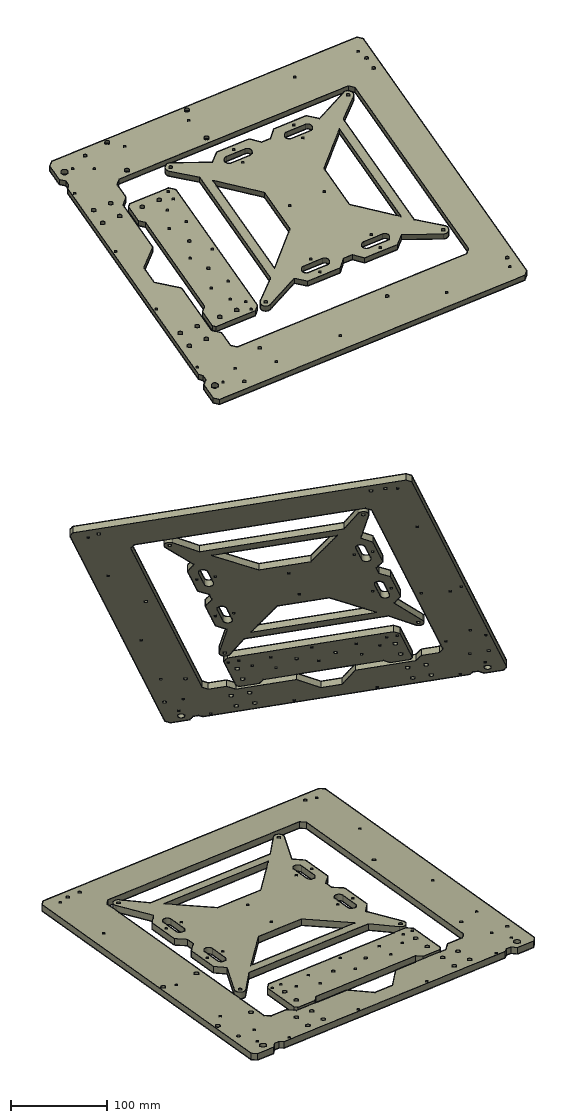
import cadquery as cq
import math

THICKNESS = 8.0

SMALL_HOLE = 2.5
MEDIUM_HOLE = 3.7
BOLT_HOLE = 4.8
BOLT_X = 85.5
BOLT_PITCH = 20.0

FRAME_HALF = 370 / 2
FRAME_CHAMFER = 4.8

FOOT_INNER_X = 159.0
NOTCH_OUTER_X = 154.3
NOTCH_INNER_X = 148.5
NOTCH_TOP_Y = -180.0
BASE_X = 144.3
BASE_Y = -183.0

WINDOW_HALF_X = 130.2
WINDOW_TOP_Y = 145.8
WINDOW_BOTTOM_Y = -135.0
WINDOW_CHAMFER = 5.0
STEP_OUTER_X = 105.5
STEP_INNER_X = 97.3
STEP_Y = -143.0
POCKET_OUTER_X = 32.0
POCKET_INNER_X = 11.5
POCKET_Y = -164.3

SIDE_HOLE_X = 167.2
SIDE_HOLE_YS = [172.0, 97.3, -28.0, -103.5]
TOP_HOLE_Y = 175.5
TOP_HOLE_X = 155.0
EXTRA_TOP_HOLE_X = -139.5
CORNER_HOLE_Y = -145.8
CORNER_HOLE_X = 175.5
FOOT_HOLE_X = 165.8
FOOT_SMALL_HOLE_Y = -165.8
FOOT_LARGE_HOLE_Y = -175.5
FOOT_LARGE_HOLE = 7.5
BASE_HOLE_XS = [44.8, 135.0]
BASE_HOLE_Y = -180.0
FRAME_BOLT_TOP_Y = -153.0
RIGHT_RAIL_X = 142.5
RIGHT_RAIL_YS = [40.5, -110.0]
COUNTERBORE_XS = [-180.5, -137.3]
COUNTERBORE_YS = [-23.0, -117.0]
COUNTERBORE = 5.0
COUNTERBORE_DEPTH = THICKNESS / 2

CARRIER_X = -14.8
CARRIER_Y = 30.0
ARM_HOLE = 104.7
ARM_TIP_RADIUS = 6.0
ARM_ROOT_X = 78.0
BAR_OUTER_Y = 84.7
BAR_INNER_Y = 74.7
OPENING_INNER_Y = 35.0
OPENING_OUTER_X = 68.0
OPENING_INNER_X = 28.0
EAR_X = 100.3
WAIST_X = 90.3
EAR_TOP_ROOT_Y = 63.3
EAR_TOP_Y = 53.0
EAR_BOTTOM_Y = 14.5
EAR_BOTTOM_ROOT_Y = 5.0
SLOT_X = 85.0
SLOT_Y = 35.5
SLOT_LENGTH = 32.0
SLOT_WIDTH = 10.0
SLOT_HOLE_OFFSET = 10.0
CENTRE_HOLE_Y = 20.5

PLATE_HALF_X = 95.5
PLATE_TOP_Y = -84.5
PLATE_BOTTOM_Y = -139.0
PLATE_TOP_CHAMFER = 5.5
PLATE_BOTTOM_CHAMFER = 3.0
RECESS_Y = -133.5
RECESS_TOP_X = 65.0
RECESS_BOTTOM_X = 70.5
PLATE_BOLT_TOP_Y = -106.5
PLATE_CORNER_XS = [80.0, 91.5]
PLATE_CORNER_Y = -93.0
PLATE_MIDDLE_Y = -105.5
PLATE_MIDDLE_SMALL_X = 69.2
PLATE_MIDDLE_MEDIUM_X = 21.0
PLATE_INNER_X = 46.2
PLATE_INNER_TOP_Y = -96.0
PLATE_INNER_BOTTOM_Y = -115.8
PLATE_CENTRE_TOP_Y = -89.5


def both_sides(points):
    """Add the mirror image in X of every point."""
    return points + [(-x, y) for x, y in points]


def four_quadrants(x, y):
    """The point mirrored into all four quadrants."""
    return [(sx * x, sy * y) for sx in (1, -1) for sy in (1, -1)]


def symmetric_slab(right_points):
    """Plate whose outline is the right half, listed top to bottom, plus its mirror image."""
    left_points = [(-x, y) for x, y in reversed(right_points)]
    return cq.Workplane("XY").polyline(right_points + left_points).close().extrude(THICKNESS)


def drill(body, points, diameter):
    """Cut a through hole at every point."""
    return body.cut(cq.Workplane("XY").pushPoints(points).circle(diameter / 2).extrude(THICKNESS))


def bolt_rows(xs, top_y):
    """Two rows of bolt positions at the given columns, on both sides."""
    return both_sides([(x, y) for x in xs for y in (top_y, top_y - BOLT_PITCH)])


def tangent_point(point, centre, radius, side):
    """Where the line from a point touches a circle; side +1 or -1 picks the line."""
    dx = point[0] - centre[0]
    dy = point[1] - centre[1]
    angle = math.atan2(dy, dx) + side * math.acos(radius / math.hypot(dx, dy))
    return (centre[0] + radius * math.cos(angle), centre[1] + radius * math.sin(angle))


def make_frame():
    outline = symmetric_slab([
        (FRAME_HALF - FRAME_CHAMFER, FRAME_HALF),
        (FRAME_HALF, FRAME_HALF - FRAME_CHAMFER),
        (FRAME_HALF, -FRAME_HALF + FRAME_CHAMFER),
        (FRAME_HALF - FRAME_CHAMFER, -FRAME_HALF),
        (FOOT_INNER_X, -FRAME_HALF),
        (NOTCH_OUTER_X, NOTCH_TOP_Y),
        (NOTCH_INNER_X, NOTCH_TOP_Y),
        (BASE_X, BASE_Y),
    ])
    window = symmetric_slab([
        (WINDOW_HALF_X - WINDOW_CHAMFER, WINDOW_TOP_Y),
        (WINDOW_HALF_X, WINDOW_TOP_Y - WINDOW_CHAMFER),
        (WINDOW_HALF_X, WINDOW_BOTTOM_Y + WINDOW_CHAMFER),
        (WINDOW_HALF_X - WINDOW_CHAMFER, WINDOW_BOTTOM_Y),
        (STEP_OUTER_X, WINDOW_BOTTOM_Y),
        (STEP_INNER_X, STEP_Y),
        (POCKET_OUTER_X, STEP_Y),
        (POCKET_INNER_X, POCKET_Y),
    ])
    body = outline.cut(window)

    small = [(SIDE_HOLE_X, y) for y in SIDE_HOLE_YS]
    small += [(x, BASE_HOLE_Y) for x in BASE_HOLE_XS]
    small += [(TOP_HOLE_X, CORNER_HOLE_Y), (FOOT_HOLE_X, FOOT_SMALL_HOLE_Y)]
    body = drill(body, both_sides(small), SMALL_HOLE)

    medium = both_sides([(TOP_HOLE_X, TOP_HOLE_Y), (CORNER_HOLE_X, CORNER_HOLE_Y)])
    medium.append((EXTRA_TOP_HOLE_X, TOP_HOLE_Y))
    medium += [(RIGHT_RAIL_X, y) for y in RIGHT_RAIL_YS]
    body = drill(body, medium, MEDIUM_HOLE)

    body = drill(body, bolt_rows([BOLT_X, BOLT_X + BOLT_PITCH], FRAME_BOLT_TOP_Y), BOLT_HOLE)
    body = drill(body, both_sides([(FOOT_HOLE_X, FOOT_LARGE_HOLE_Y)]), FOOT_LARGE_HOLE)

    counterbores = [(x, y) for x in COUNTERBORE_XS for y in COUNTERBORE_YS]
    return (
        body.faces(">Z").workplane(origin=(0, 0, THICKNESS))
        .pushPoints(counterbores)
        .cboreHole(SMALL_HOLE, COUNTERBORE, COUNTERBORE_DEPTH)
    )


def make_carrier():
    tip = (ARM_HOLE, ARM_HOLE)
    root = (ARM_ROOT_X, BAR_OUTER_Y)
    ear_root = (WAIST_X, EAR_TOP_ROOT_Y)
    tip_reach = ARM_HOLE + ARM_TIP_RADIUS * math.sqrt(0.5)
    quadrant = (
        cq.Workplane("XY")
        .lineTo(0, BAR_OUTER_Y)
        .lineTo(*root)
        .lineTo(*tangent_point(root, tip, ARM_TIP_RADIUS, -1))
        .threePointArc((tip_reach, tip_reach), tangent_point(ear_root, tip, ARM_TIP_RADIUS, 1))
        .lineTo(*ear_root)
        .lineTo(EAR_X, EAR_TOP_Y)
        .lineTo(EAR_X, EAR_BOTTOM_Y)
        .lineTo(WAIST_X, EAR_BOTTOM_ROOT_Y)
        .lineTo(WAIST_X, 0)
        .close()
        .extrude(THICKNESS)
    )
    half = quadrant.union(quadrant.mirror("YZ"))
    body = half.union(half.mirror("XZ")).clean()

    opening = symmetric_slab([(OPENING_OUTER_X, BAR_INNER_Y), (OPENING_INNER_X, OPENING_INNER_Y)])
    body = body.cut(opening).cut(opening.mirror("XZ"))

    slots = (
        cq.Workplane("XY")
        .pushPoints(four_quadrants(SLOT_X, SLOT_Y))
        .slot2D(SLOT_LENGTH, SLOT_WIDTH, 90)
        .extrude(THICKNESS)
    )
    body = body.cut(slots)

    small = four_quadrants(SLOT_X - SLOT_HOLE_OFFSET, SLOT_Y)
    small += four_quadrants(SLOT_X + SLOT_HOLE_OFFSET, SLOT_Y)
    small += [(0, CENTRE_HOLE_Y), (0, -CENTRE_HOLE_Y)]
    body = drill(body, small, SMALL_HOLE)
    body = drill(body, four_quadrants(ARM_HOLE, ARM_HOLE), MEDIUM_HOLE)
    return body.translate((CARRIER_X, CARRIER_Y, 0))


def make_mounting_plate():
    body = symmetric_slab([
        (PLATE_HALF_X - PLATE_TOP_CHAMFER, PLATE_TOP_Y),
        (PLATE_HALF_X, PLATE_TOP_Y - PLATE_TOP_CHAMFER),
        (PLATE_HALF_X, PLATE_BOTTOM_Y + PLATE_BOTTOM_CHAMFER),
        (PLATE_HALF_X - PLATE_BOTTOM_CHAMFER, PLATE_BOTTOM_Y),
        (RECESS_BOTTOM_X, PLATE_BOTTOM_Y),
        (RECESS_TOP_X, RECESS_Y),
    ])

    small = [(x, PLATE_CORNER_Y) for x in PLATE_CORNER_XS]
    small += [(PLATE_INNER_X, PLATE_INNER_TOP_Y), (PLATE_INNER_X, PLATE_INNER_BOTTOM_Y)]
    small.append((PLATE_MIDDLE_SMALL_X, PLATE_MIDDLE_Y))
    centre_line = [(0, PLATE_CENTRE_TOP_Y), (0, PLATE_INNER_BOTTOM_Y)]
    body = drill(body, both_sides(small) + centre_line, SMALL_HOLE)
    body = drill(body, both_sides([(PLATE_MIDDLE_MEDIUM_X, PLATE_MIDDLE_Y)]), MEDIUM_HOLE)
    return drill(body, bolt_rows([BOLT_X], PLATE_BOLT_TOP_Y), BOLT_HOLE)


frame = make_frame()
carrier = make_carrier()
mounting_plate = make_mounting_plate()

result = cq.Compound.makeCompound([frame.val(), carrier.val(), mounting_plate.val()])